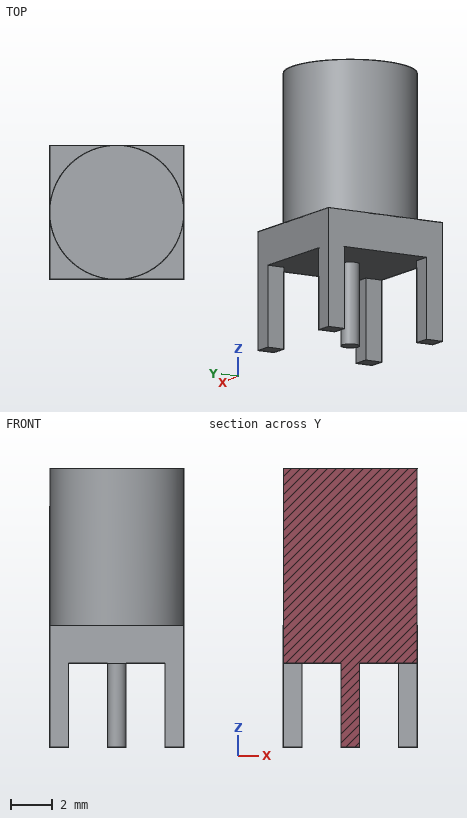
import cadquery as cq

body_width = 6.4
base_height = 1.8
barrel_height = 7.5
leg_length = 4.0
leg_width = 0.9
pin_diameter = 0.9

leg_spacing = body_width - leg_width


def make_base():
    """Square block sitting on the seating plane."""
    return cq.Workplane("XY").rect(body_width, body_width).extrude(base_height)


def make_barrel():
    """Plain cylinder standing on the base."""
    return cq.Workplane("XY", origin=(0, 0, base_height)).circle(body_width / 2).extrude(barrel_height)


def make_legs():
    """Four square legs hanging flush with the corners of the base."""
    return (
        cq.Workplane("XY")
        .rect(leg_spacing, leg_spacing, forConstruction=True)
        .vertices()
        .rect(leg_width, leg_width)
        .extrude(-leg_length)
    )


def make_pin():
    """Round centre pin, as long as the legs."""
    return cq.Workplane("XY").circle(pin_diameter / 2).extrude(-leg_length)


result = make_base().union(make_barrel()).union(make_legs()).union(make_pin())